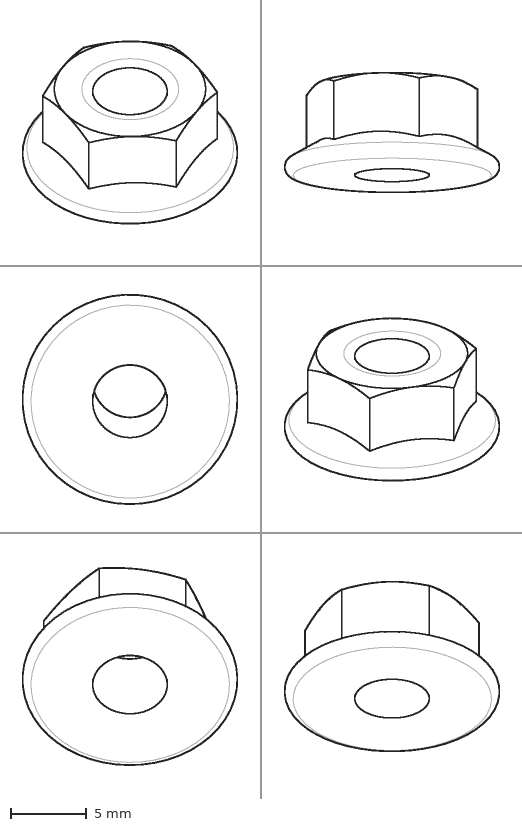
import cadquery as cq
import math

nut_height = 6.0
flange_diameter = 14.2
across_flats = 10.0
bore_diameter = 4.92

rim_radius = 0.55
flange_slope = math.radians(30)

corner_chamfer_slope = math.radians(30)

countersink_diameter = 6.4
countersink_depth = 0.2

hexagon_sides = 6
across_corners = across_flats / math.cos(math.pi / hexagon_sides)
flange_radius = flange_diameter / 2
bore_radius = bore_diameter / 2


def revolve_about_z(half_profile):
    """Turn a closed half profile, drawn as radius and height, about the Z axis."""
    return half_profile.close().revolve(360, (0, 0), (0, 1))


def make_flange():
    """Flange disc: flat bottom, round rim and a cone rising inward to the bore."""
    rim_center_r = flange_radius - rim_radius
    cone_start_r = rim_center_r + rim_radius * math.sin(flange_slope)
    cone_start_z = rim_radius + rim_radius * math.cos(flange_slope)
    cone_top_z = cone_start_z + (cone_start_r - bore_radius) * math.tan(flange_slope)
    half_profile = (
        cq.Workplane("XZ")
        .lineTo(rim_center_r, 0)
        .threePointArc((flange_radius, rim_radius), (cone_start_r, cone_start_z))
        .lineTo(bore_radius, cone_top_z)
        .lineTo(0, cone_top_z)
    )
    return revolve_about_z(half_profile)


def make_hexagon():
    """Hexagonal body with two corners on the X axis, its top corners chamfered by a cone."""
    prism = cq.Workplane("XY").polygon(hexagon_sides, across_corners).extrude(nut_height)
    top_face_r = across_flats / 2
    cone_base_z = nut_height - (flange_radius - top_face_r) * math.tan(corner_chamfer_slope)
    half_profile = (
        cq.Workplane("XZ")
        .lineTo(flange_radius, 0)
        .lineTo(flange_radius, cone_base_z)
        .lineTo(top_face_r, nut_height)
        .lineTo(0, nut_height)
    )
    return prism.intersect(revolve_about_z(half_profile))


def make_bore():
    """Through bore with a conical countersink at the top."""
    half_profile = (
        cq.Workplane("XZ")
        .lineTo(bore_radius, 0)
        .lineTo(bore_radius, nut_height - countersink_depth)
        .lineTo(countersink_diameter / 2, nut_height)
        .lineTo(0, nut_height)
    )
    return revolve_about_z(half_profile)


result = make_flange().union(make_hexagon()).cut(make_bore())